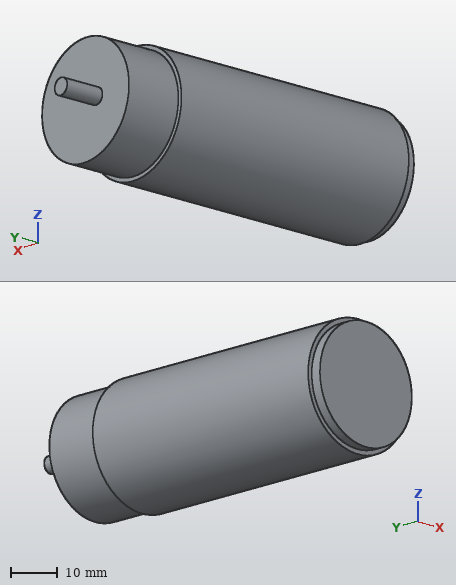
import cadquery as cq

total_length = 91.0
motor_diameter = 30.0

cap_diameter = 27.85
cap_length = 2.5

gearbox_diameter = 28.0
gearbox_body_length = 11.0
front_plate_length = 3.0
gearbox_length = gearbox_body_length + front_plate_length

shaft_diameter = 4.0
shaft_length = 10.0
shaft_offset_x = -3.5

motor_length = total_length - cap_length - gearbox_length - shaft_length


def cylinder_along_y(diameter, start_y, length, center_x=0.0):
    """Solid cylinder running from start_y towards +Y."""
    base_center = cq.Vector(center_x, start_y, 0)
    axis = cq.Vector(0, 1, 0)
    return cq.Workplane(cq.Solid.makeCylinder(diameter / 2, length, base_center, axis))


motor_start = cap_length
gearbox_start = motor_start + motor_length
shaft_start = gearbox_start + gearbox_length

cap = cylinder_along_y(cap_diameter, 0.0, cap_length)
motor = cylinder_along_y(motor_diameter, motor_start, motor_length)
gearbox = cylinder_along_y(gearbox_diameter, gearbox_start, gearbox_length)
shaft = cylinder_along_y(shaft_diameter, shaft_start, shaft_length, shaft_offset_x)

result = cap.union(motor).union(gearbox).union(shaft)